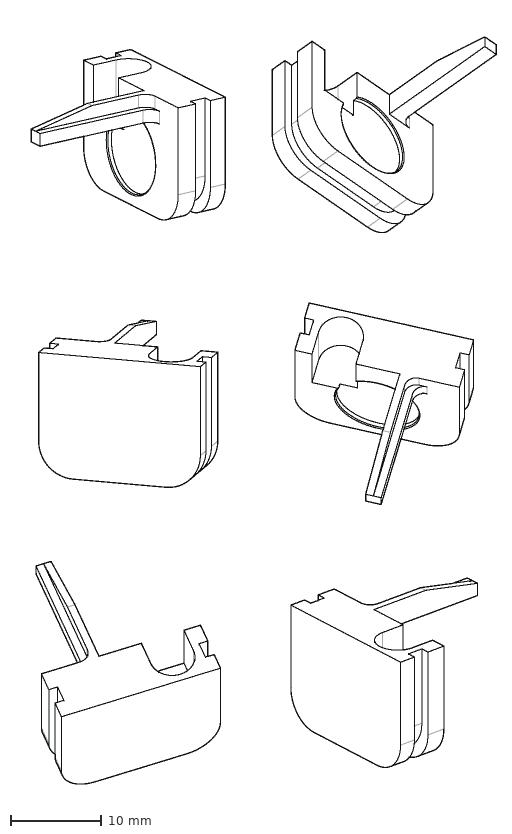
import cadquery as cq

total_length = 21.3
body_width = 18.8
body_height = 14.2
body_depth = 6.28
corner_radius = 4.0

groove_back_offset = 2.0
groove_width = 1.95
groove_depth = 1.05

slot_width = 5.03
slot_side_wall = 1.95
slot_back_wall = 0.79
slot_height = 6.2

recess_diameter = 9.55
recess_depth = 0.6
recess_drop = 8.07
rim_chamfer = 0.13

arm_offset = 12.0
arm_thickness = 1.79
arm_height = 3.02
arm_root_fillet = 1.32
arm_length = total_length - body_depth
arm_step_height = arm_height / 2

left_side = -body_width / 2
arm_left = left_side + arm_offset


def rounded_plate(inset, depth, front):
    """Plate with rounded lower corners, inset at its sides and bottom."""
    width = body_width - 2 * inset
    height = body_height - inset
    plate = cq.Workplane("XY").box(width, depth, height, centered=(True, False, False))
    plate = plate.edges("|Y and <Z").fillet(corner_radius)
    return plate.translate((0, front, -height))


def make_body():
    groove_front = body_depth - groove_back_offset - groove_width
    front_flange = rounded_plate(0, groove_front, 0)
    core = rounded_plate(groove_depth, groove_width, groove_front)
    back_flange = rounded_plate(0, groove_back_offset, body_depth - groove_back_offset)
    return front_flange.union(core).union(back_flange)


def make_slot():
    radius = slot_width / 2
    slot_left = left_side + slot_side_wall
    arc_start = body_depth - slot_back_wall - radius
    return (
        cq.Workplane("XY")
        .moveTo(slot_left, 0)
        .lineTo(slot_left, arc_start)
        .threePointArc((slot_left + radius, arc_start + radius), (slot_left + slot_width, arc_start))
        .lineTo(slot_left + slot_width, 0)
        .close()
        .extrude(-slot_height)
    )


def make_recess():
    radius = recess_diameter / 2
    profile = [
        (0, 0),
        (radius + rim_chamfer, 0),
        (radius, rim_chamfer),
        (radius, recess_depth),
        (0, recess_depth),
    ]
    recess = cq.Workplane("XY").polyline(profile).close().revolve(360, (0, 0), (0, 1))
    return recess.translate((0, 0, -recess_drop))


def arm_layer(thickness, top):
    """One step of the arm, with a fillet where its right side meets the body."""
    right = arm_left + thickness
    return (
        cq.Workplane("XY")
        .workplane(offset=top)
        .moveTo(arm_left, 0)
        .lineTo(arm_left, -arm_length)
        .lineTo(right, -arm_length)
        .lineTo(right, -arm_root_fillet)
        .radiusArc((right + arm_root_fillet, 0), arm_root_fillet)
        .close()
        .extrude(-arm_step_height)
    )


def make_arm():
    taper = (
        cq.Workplane("YZ")
        .workplane(offset=arm_left)
        .polyline([(-arm_length / 2, 0), (-arm_length, 0), (-arm_length, -arm_step_height)])
        .close()
        .extrude(arm_thickness)
    )
    upper = arm_layer(arm_thickness / 2, 0).cut(taper)
    lower = arm_layer(arm_thickness, -arm_step_height)
    return upper.union(lower)


result = make_body().cut(make_slot()).cut(make_recess()).union(make_arm())